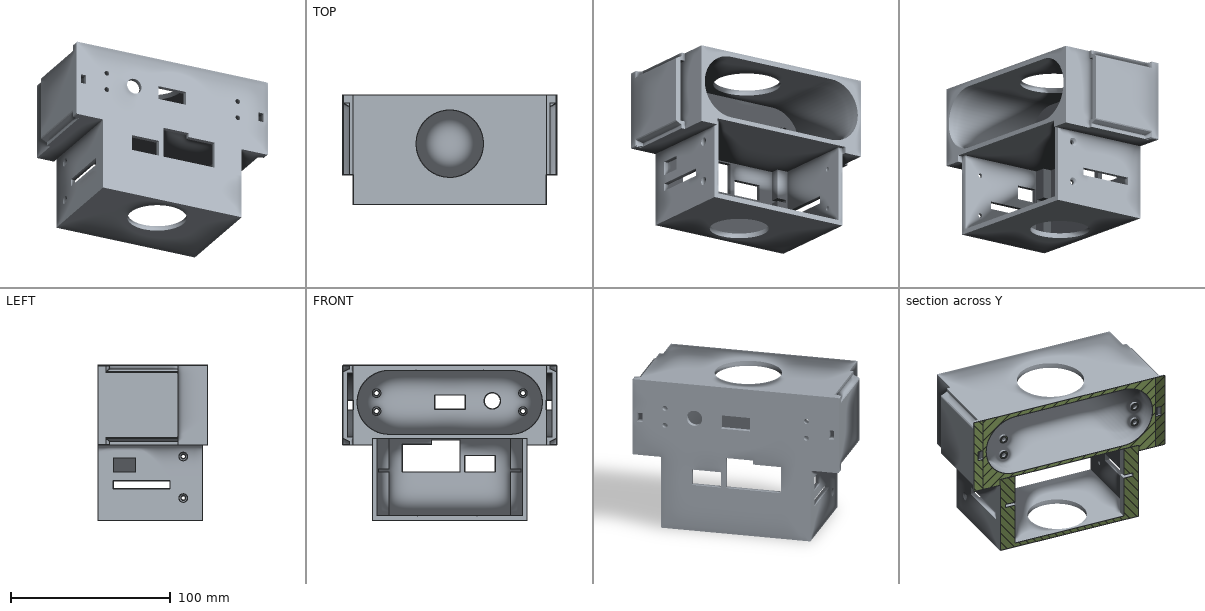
import cadquery as cq

OVERALL_WIDTH = 133.8
OVERALL_HEIGHT = 97.1
WALL = 3.1
OVERCUT = 1.3

HOUSING_WIDTH = 120.7
HOUSING_DEPTH = 68.6
HOUSING_HEIGHT = 50.0
HOUSING_BOTTOM = OVERALL_HEIGHT - HOUSING_HEIGHT
CAVITY_WIDTH = 115.9
CAVITY_HEIGHT = 40.0
CAVITY_Z = 73.9
TOP_HOLE_DIAMETER = 42.1
TOP_HOLE_FROM_REAR = 30.5
DISPLAY_WINDOW = (19.0, 8.8)
DISPLAY_WINDOW_X = 0.1
DISPLAY_WINDOW_Z = 74.0
BUTTON_DIAMETER = 10.0
BUTTON_X = 26.6
BUTTON_Z = 74.8

STANDOFF_DIAMETER = 5.4
STANDOFF_BORE = 3.2
STANDOFF_LENGTH = 2.8
STANDOFF_SPAN_X = 91.5
STANDOFF_SPAN_Z = 11.2
STANDOFF_Z = 74.0

TRAY_WIDTH = 96.9
TRAY_DEPTH = 65.4
TRAY_SEAT = 4.0
TRAY_HEIGHT = HOUSING_BOTTOM + TRAY_SEAT
TRAY_INNER_WIDTH = TRAY_WIDTH - 2 * WALL
FLOOR_HOLE_DIAMETER = 37.0
FLOOR_HOLE_X = -1.6
FLOOR_HOLE_FROM_REAR = 24.5
RAIL_WIDTH = 7.5
RAIL_FRONT = 9.0
BOARD_SLOT_HEIGHT = 1.9
BOARD_SLOT_DEPTH = 6.5
BOARD_SLOT_BOTTOM = 30.4

LARGE_PORT_LEFT = -29.6
LARGE_PORT_STEP = -11.4
LARGE_PORT_RIGHT = 6.3
LARGE_PORT_LOW_HEIGHT = 17.3
LARGE_PORT_HIGH_HEIGHT = 20.0
SMALL_PORT_LEFT = 9.5
SMALL_PORT_WIDTH = 18.9
SMALL_PORT_HEIGHT = 10.2

SIDE_OPENING_REAR = 9.6
SIDE_WINDOW_LENGTH = 13.8
SIDE_WINDOW_HEIGHT = 8.8
SIDE_SLOT_LENGTH = 35.5
SIDE_SLOT_HEIGHT = 4.8
SIDE_SLOT_BOTTOM = 20.0
SCREW_BORE = 2.8
SCREW_HEAD = 5.4
SCREW_SINK = 1.2
SCREW_FROM_REAR = 53.4
SCREW_HEIGHTS = (14.0, 40.0)

BRACKET_WIDTH = (OVERALL_WIDTH - HOUSING_WIDTH) / 2
BRACKET_DEPTH = 50.0
DISC_DIAMETER = 40.1
DISC_THICKNESS = 3.5
CABLE_SLIT = 5.9
GROOVE_DEPTH = 4.1
GROOVE_END_OUTER = 5.1
GROOVE_DROP_OUTER = 4.3
GROOVE_TAPER_Y = 2.3
GROOVE_TAPER_Z = 2.0
RIM = 0.47


def block(x_range, y_range, z_range):
    """Box spanning the given pairs of coordinates."""
    spans = (x_range, y_range, z_range)
    size = [high - low for low, high in spans]
    return cq.Workplane("XY").box(*size, centered=False).translate([low for low, _ in spans])


def rear_plane(x, z):
    """Workplane at Y = 0 whose normal points to the front (-Y)."""
    return cq.Workplane("XZ", origin=(x, 0, z))


def standoff_positions():
    """Centres (X, Z) of the four standoffs."""
    return [
        (side * STANDOFF_SPAN_X / 2, STANDOFF_Z + level * STANDOFF_SPAN_Z / 2)
        for side in (-1, 1)
        for level in (-1, 1)
    ]


def make_housing():
    half = HOUSING_WIDTH / 2
    body = block((-half, half), (-HOUSING_DEPTH, 0), (HOUSING_BOTTOM, OVERALL_HEIGHT))

    cavity = (
        rear_plane(0, CAVITY_Z)
        .workplane(offset=WALL)
        .slot2D(CAVITY_WIDTH, CAVITY_HEIGHT)
        .extrude(HOUSING_DEPTH)
    )
    body = body.cut(cavity)

    channel = block(
        (-TRAY_WIDTH / 2, TRAY_WIDTH / 2),
        (-HOUSING_DEPTH - OVERCUT, OVERCUT),
        (HOUSING_BOTTOM - OVERCUT, HOUSING_BOTTOM + TRAY_SEAT),
    )
    body = body.cut(channel)

    top_hole = (
        cq.Workplane("XY", origin=(0, -TOP_HOLE_FROM_REAR, CAVITY_Z))
        .circle(TOP_HOLE_DIAMETER / 2)
        .extrude(HOUSING_HEIGHT)
    )
    body = body.cut(top_hole)

    window = rear_plane(DISPLAY_WINDOW_X, DISPLAY_WINDOW_Z).rect(*DISPLAY_WINDOW).extrude(WALL)
    button = rear_plane(BUTTON_X, BUTTON_Z).circle(BUTTON_DIAMETER / 2).extrude(WALL)
    body = body.cut(window).cut(button)
    for x, z in standoff_positions():
        body = body.cut(rear_plane(x, z).circle(STANDOFF_BORE / 2).extrude(WALL))
    return body


def make_standoff(x, z):
    return (
        rear_plane(x, z)
        .workplane(offset=WALL)
        .circle(STANDOFF_DIAMETER / 2)
        .circle(STANDOFF_BORE / 2)
        .extrude(STANDOFF_LENGTH)
    )


def make_rail(side):
    """Vertical rail in a rear corner of the tray, slotted for the edge of a board."""
    wall_x = TRAY_INNER_WIDTH / 2
    inner_x = wall_x - RAIL_WIDTH
    rail = block((inner_x, wall_x), (-RAIL_FRONT, -WALL), (WALL, TRAY_HEIGHT))
    slot = block(
        (inner_x, inner_x + BOARD_SLOT_DEPTH),
        (-RAIL_FRONT, -WALL),
        (BOARD_SLOT_BOTTOM, BOARD_SLOT_BOTTOM + BOARD_SLOT_HEIGHT),
    )
    rail = rail.cut(slot)
    return rail if side > 0 else rail.mirror("YZ")


def cut_ports(tray):
    """Stepped and plain connector openings through the rear wall."""
    rear_wall = (-WALL, 0)
    bottom = BOARD_SLOT_BOTTOM
    ports = [
        (LARGE_PORT_LEFT, LARGE_PORT_STEP, LARGE_PORT_LOW_HEIGHT),
        (LARGE_PORT_STEP, LARGE_PORT_RIGHT, LARGE_PORT_HIGH_HEIGHT),
        (SMALL_PORT_LEFT, SMALL_PORT_LEFT + SMALL_PORT_WIDTH, SMALL_PORT_HEIGHT),
    ]
    for left, right, height in ports:
        tray = tray.cut(block((left, right), rear_wall, (bottom, bottom + height)))
    return tray


def cut_side_openings(tray):
    """Slot through both side walls, and a window through the -X wall only."""
    half = TRAY_WIDTH / 2
    slot = block(
        (-half, half),
        (-SIDE_OPENING_REAR - SIDE_SLOT_LENGTH, -SIDE_OPENING_REAR),
        (SIDE_SLOT_BOTTOM, SIDE_SLOT_BOTTOM + SIDE_SLOT_HEIGHT),
    )
    window = block(
        (-half, -half + WALL),
        (-SIDE_OPENING_REAR - SIDE_WINDOW_LENGTH, -SIDE_OPENING_REAR),
        (BOARD_SLOT_BOTTOM, BOARD_SLOT_BOTTOM + SIDE_WINDOW_HEIGHT),
    )
    return tray.cut(slot).cut(window)


def cut_screw_holes(tray):
    """Countersunk screw holes through both side walls."""
    for height in SCREW_HEIGHTS:
        outer_face = cq.Workplane("YZ", origin=(-TRAY_WIDTH / 2, -SCREW_FROM_REAR, height))
        sink = (
            outer_face.circle(SCREW_HEAD / 2)
            .workplane(offset=SCREW_SINK)
            .circle(SCREW_BORE / 2)
            .loft()
        )
        hole = outer_face.circle(SCREW_BORE / 2).extrude(WALL).union(sink)
        tray = tray.cut(hole).cut(hole.mirror("YZ"))
    return tray


def make_tray():
    half = TRAY_WIDTH / 2
    inner_half = TRAY_INNER_WIDTH / 2
    tray = block((-half, half), (-TRAY_DEPTH, 0), (0, TRAY_HEIGHT))

    interior = block(
        (-inner_half, inner_half),
        (-TRAY_DEPTH - OVERCUT, -WALL),
        (WALL, TRAY_HEIGHT + OVERCUT),
    )
    tray = tray.cut(interior)
    for side in (-1, 1):
        tray = tray.union(make_rail(side))

    floor_hole = (
        cq.Workplane("XY", origin=(FLOOR_HOLE_X, -FLOOR_HOLE_FROM_REAR, 0))
        .circle(FLOOR_HOLE_DIAMETER / 2)
        .extrude(WALL)
    )
    tray = tray.cut(floor_hole)
    return cut_screw_holes(cut_side_openings(cut_ports(tray)))


def make_groove():
    """Tapered cutter for the upper outer edge of the -X bracket, open at the top and front."""
    front = -BRACKET_DEPTH - OVERCUT
    top = OVERALL_HEIGHT + OVERCUT
    outer_end = -GROOVE_END_OUTER
    outer_floor = OVERALL_HEIGHT - GROOVE_DROP_OUTER
    inner_end = outer_end - GROOVE_TAPER_Y
    inner_floor = outer_floor + GROOVE_TAPER_Z
    outer_x = -OVERALL_WIDTH / 2
    taper = (
        cq.Workplane("YZ", origin=(outer_x, 0, 0))
        .polyline([(front, outer_floor), (outer_end, outer_floor), (outer_end, top), (front, top)])
        .close()
        .workplane(offset=GROOVE_DEPTH)
        .polyline([(front, inner_floor), (inner_end, inner_floor), (inner_end, top), (front, top)])
        .close()
        .loft(ruled=True)
    )
    recess = block((outer_x, outer_x + GROOVE_DEPTH), (front, outer_end), (OVERALL_HEIGHT - RIM, top))
    return taper.union(recess)


def make_bracket(side):
    """Side bracket with a disc pocket against the housing and grooved outer edges."""
    outer_x = -OVERALL_WIDTH / 2
    inner_x = outer_x + BRACKET_WIDTH
    middle_y = -BRACKET_DEPTH / 2
    middle_z = HOUSING_BOTTOM + HOUSING_HEIGHT / 2
    bracket = block((outer_x, inner_x), (-BRACKET_DEPTH, 0), (HOUSING_BOTTOM, OVERALL_HEIGHT))

    groove = make_groove()
    lower_groove = groove.mirror("XY", (0, 0, middle_z))
    bracket = bracket.cut(groove).cut(lower_groove)
    bracket = bracket.faces("<X").edges("|Y").chamfer(RIM)

    pocket_x = (inner_x - DISC_THICKNESS, inner_x)
    radius = DISC_DIAMETER / 2
    disc_seat = (
        cq.Workplane("YZ", origin=(pocket_x[0], middle_y, middle_z))
        .circle(radius)
        .extrude(DISC_THICKNESS)
    )
    mouth = block(pocket_x, (-BRACKET_DEPTH - OVERCUT, middle_y), (middle_z - radius, middle_z + radius))
    slit = block(pocket_x, (middle_y, OVERCUT), (middle_z - CABLE_SLIT / 2, middle_z + CABLE_SLIT / 2))
    bracket = bracket.cut(disc_seat).cut(mouth).cut(slit)
    return bracket if side < 0 else bracket.mirror("YZ")


housing = make_housing()
tray = make_tray()
brackets = [make_bracket(side) for side in (-1, 1)]
standoffs = [make_standoff(x, z) for x, z in standoff_positions()]

result = cq.Compound.makeCompound(
    [body.val() for body in [housing, tray, *brackets, *standoffs]]
)